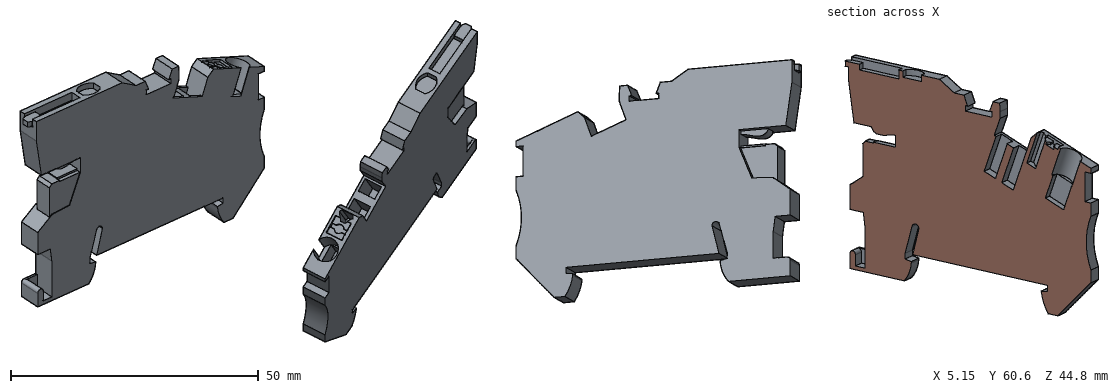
import cadquery as cq
import math

THICKNESS = 5.15
LENGTH = 60.6
HEIGHT = 44.8
MID_X = THICKNESS / 2

FRONT_FACE_Y = 0.8
FOOT_FRONT_Y = 1.15
FOOT_RECESS_Y = 4.85
FOOT_RECESS_TOP_Y = 4.4
FOOT_RECESS_BEND_Z = 9.5
FOOT_LEDGE_Z = 4.0
FOOT_LIP_RADIUS = 0.7
FOOT_POCKET_WALL = 0.55
FOOT_POCKET_FLOOR_Z = 0.9
FOOT_RECESS_TOP_Z = 12.6
FRONT_TAPER_Z = 40.1
FRONT_TAPER_BOTTOM_Y = 2.1

MOUTH_BACK_Y = 12.3
MOUTH_TOP_Z = 31.3
MOUTH_KNEE_Z = 27.7
MOUTH_FLOOR = [(9.5, 21.05), (4.9, 20.7), (FOOT_FRONT_Y, 17.95)]

SEAT_Z = 6.0
HOOK_TOP_Z = 4.8
HOOK_TIP_Z = 4.55
HOOK_ARC_Z = 4.25
HOOK_MID_Z = 2.1
FRONT_HOOK_ROOT_Y = 14.85
FRONT_HOOK_TIP_Y = 16.35
FRONT_HOOK_MID_Y = 15.9
FRONT_HOOK_TOE_Y = 14.55
BACK_HOOK_ROOT_Y = 49.75
BACK_HOOK_TIP_Y = 48.3
BACK_HOOK_MID_Y = 48.85
BACK_HOOK_TOE_Y = 50.0
SLIT_FRONT_TOP = (16.55, 12.05)
SLIT_CROWN = (17.4, 12.65)
SLIT_BACK_TOP = (18.1, 11.9)
SLIT_BACK_BOTTOM_Y = 16.6

HEEL_Y = 52.35
HEEL_TOP_Z = 8.7
GRIP_BOTTOM_Z = 11.45
GRIP_TOP_Z = 22.9
GRIP_DEPTH = 1.15
NOTCH_BOTTOM_Z = 25.75
NOTCH_TOP_Z = 32.0
NOTCH_DEPTH = 1.5
ROOF_BACK_Z = 33.15

ROOF_CREST = (47.2, 38.05)
ROOF_SHOULDER = (45.75, 36.7)
ROOF_ANGLE = math.atan2(ROOF_CREST[1] - ROOF_BACK_Z, LENGTH - ROOF_CREST[0])
ROOF_SLOPE = math.tan(ROOF_ANGLE)
GAP_BACK_Z = 32.7
GAP_FRONT_Y = 36.8
GAP_BACK = (ROOF_SHOULDER[0] - (ROOF_SHOULDER[1] - GAP_BACK_Z) * ROOF_SLOPE, GAP_BACK_Z)
GAP_FRONT = (GAP_FRONT_Y, GAP_BACK_Z + (GAP_BACK[0] - GAP_FRONT_Y) * ROOF_SLOPE)

HOLDER_TOP_Z = 42.6
HOLDER_FLOOR_Z = 39.3
HOLDER_LIP_Z = 40.35
HOLDER_BACK_Y = 36.05
HOLDER_FRONT_Y = 29.7
HOLDER_LIP = 0.55
HOLDER_LIP_RUN = 0.9
HOLDER_ARM_BACK_Y = 38.25
HOLDER_ARM_TOP_Y = 38.1
HOLDER_ARM_TOP_BEND_Z = 40.85
HOLDER_ARM_BOTTOM_BEND_Z = 39.4
SHOULDER_Y = 26.9
TOP_BACK_Y = 23.3

BLOCK_X = (1.1, 5.05)
BLOCK_FRONT_Y = 4.3
BLOCK_TOP_Z = 28.0
BLOCK_STEP_Y = 7.0
BLOCK_STEP_Z = 27.75
BLOCK_CHAMFER = 0.65
BLOCK_EMBED = 0.6
RIDGE_X = (1.35, 4.2)
RIDGE_TOP_Z = 28.2

TONGUE_BACK_Z = 30.6
TONGUE_BULGE = [(10.9, 30.35), (9.4, 30.0), (7.7, 30.0), (6.4, MOUTH_TOP_Z)]

SLOT_X = (1.4, 3.95)
SLOT_BACK_Y = 13.2
SLOT_FLOOR_Z = 42.9
PIN_X = (1.4, 3.75)
PIN_BACK_Y = 3.65
PIN_HEIGHT = 1.2
PIN_TIP_INSET = 0.5
WINDOW_Y = 16.55
WINDOW_LENGTH = 4.55
WINDOW_WIDTH = 3.95
WINDOW_FLAT = 2.05
WINDOW_DEPTH = 1.35

ENTRY_X = 2.85
ENTRY_RADIUS = 2.55
ENTRY_ALONG = 8.85
ENTRY_DEPTH = 6.4
CLAMP_X = (1.2, 4.2)
CLAMP_ALONG = (6.65, 11.35)
CLAMP_DEPTH = 5.45
RECESS_X = (0.9, 4.55)
RECESS_ALONG = (1.75, 5.7)
RECESS_DEPTH = 0.55
CROSS_ALONG = 3.8
CROSS_WIDTH = 0.85
CROSS_RADIUS = 1.0
CROSS_DEPTH = 0.55
TOOL_HOLE_X = 2.65
TOOL_HOLE_DEPTH = 7.3
TOOL_HOLE_HALF_OUTLINE = [(1.3, 0.1), (1.6, 0.7), (0.5, 2.3)]

POCKET_X = (0.7, 4.55)
POCKETS_ALONG = [(-2.9, 0.0), (-7.5, -4.65)]
POCKET_DEPTH = 8.5


def box(x_range, y_range, z_range):
    """Axis-aligned box between the given limits."""
    lows, highs = zip(x_range, y_range, z_range)
    sizes = [high - low for low, high in zip(lows, highs)]
    return cq.Workplane("XY").box(*sizes, centered=False).translate(lows)


def slope_plane(point):
    """Plane parallel to the sloping roof through a (y, z) point; its local y runs down the slope."""
    normal = (0, math.sin(ROOF_ANGLE), math.cos(ROOF_ANGLE))
    return cq.Workplane(cq.Plane(origin=(0, *point), xDir=(1, 0, 0), normal=normal))


def slope_pocket(plane, x_range, along, depth):
    """Rectangular pocket sunk square into a slope plane."""
    centre = (sum(x_range) / 2, sum(along) / 2)
    return plane.center(*centre).rect(x_range[1] - x_range[0], along[1] - along[0]).extrude(-depth)


def make_body():
    """The plate outline, followed from the front foot under the rail seat and back over the top."""
    outline = (
        cq.Workplane("YZ")
        .moveTo(FOOT_FRONT_Y, 0)
        .lineTo(FRONT_HOOK_TOE_Y, 0)
        .threePointArc((FRONT_HOOK_MID_Y, HOOK_MID_Z), (FRONT_HOOK_TIP_Y, HOOK_ARC_Z))
        .lineTo(FRONT_HOOK_TIP_Y, HOOK_TIP_Z)
        .lineTo(FRONT_HOOK_ROOT_Y, HOOK_TOP_Z)
        .lineTo(FRONT_HOOK_ROOT_Y, SEAT_Z)
        .lineTo(*SLIT_FRONT_TOP)
        .threePointArc(SLIT_CROWN, SLIT_BACK_TOP)
        .lineTo(SLIT_BACK_BOTTOM_Y, SEAT_Z)
        .lineTo(BACK_HOOK_ROOT_Y, SEAT_Z)
        .lineTo(BACK_HOOK_ROOT_Y, HOOK_TOP_Z)
        .lineTo(BACK_HOOK_TIP_Y, HOOK_TIP_Z)
        .lineTo(BACK_HOOK_TIP_Y, HOOK_ARC_Z)
        .threePointArc((BACK_HOOK_MID_Y, HOOK_MID_Z), (BACK_HOOK_TOE_Y, 0))
        .lineTo(HEEL_Y, 0)
        .lineTo(LENGTH, HEEL_TOP_Z)
        .lineTo(LENGTH, GRIP_BOTTOM_Z)
        .threePointArc((LENGTH - GRIP_DEPTH, (GRIP_BOTTOM_Z + GRIP_TOP_Z) / 2), (LENGTH, GRIP_TOP_Z))
        .lineTo(LENGTH, NOTCH_BOTTOM_Z)
        .lineTo(LENGTH - NOTCH_DEPTH, NOTCH_BOTTOM_Z)
        .lineTo(LENGTH - NOTCH_DEPTH, NOTCH_TOP_Z)
        .lineTo(LENGTH, NOTCH_TOP_Z)
        .lineTo(LENGTH, ROOF_BACK_Z)
        .lineTo(*ROOF_CREST)
        .lineTo(*ROOF_SHOULDER)
        .lineTo(*GAP_BACK)
        .lineTo(*GAP_FRONT)
        .lineTo(HOLDER_ARM_BACK_Y, HOLDER_ARM_BOTTOM_BEND_Z)
        .lineTo(HOLDER_ARM_BACK_Y, HOLDER_ARM_TOP_BEND_Z)
        .lineTo(HOLDER_ARM_TOP_Y, HOLDER_TOP_Z)
        .lineTo(HOLDER_BACK_Y - HOLDER_LIP + HOLDER_LIP_RUN, HOLDER_TOP_Z)
        .lineTo(HOLDER_BACK_Y - HOLDER_LIP, HOLDER_LIP_Z)
        .lineTo(HOLDER_BACK_Y, HOLDER_LIP_Z)
        .lineTo(HOLDER_BACK_Y, HOLDER_FLOOR_Z)
        .lineTo(HOLDER_FRONT_Y, HOLDER_FLOOR_Z)
        .lineTo(HOLDER_FRONT_Y, HOLDER_LIP_Z)
        .lineTo(HOLDER_FRONT_Y + HOLDER_LIP, HOLDER_LIP_Z)
        .lineTo(HOLDER_FRONT_Y + HOLDER_LIP - HOLDER_LIP_RUN, HOLDER_TOP_Z)
        .lineTo(SHOULDER_Y, HOLDER_TOP_Z)
        .lineTo(TOP_BACK_Y, HEIGHT)
        .lineTo(FRONT_FACE_Y, HEIGHT)
        .lineTo(FRONT_FACE_Y, FRONT_TAPER_Z)
        .lineTo(FRONT_TAPER_BOTTOM_Y, MOUTH_TOP_Z)
        .lineTo(MOUTH_BACK_Y, MOUTH_TOP_Z)
        .lineTo(MOUTH_BACK_Y, MOUTH_KNEE_Z)
    )
    for point in MOUTH_FLOOR:
        outline = outline.lineTo(*point)
    lip_radius = FOOT_LIP_RADIUS
    diagonal = lip_radius * (1 - math.sqrt(0.5))
    outline = (
        outline
        .lineTo(FOOT_FRONT_Y, FOOT_RECESS_TOP_Z)
        .lineTo(FOOT_RECESS_TOP_Y, FOOT_RECESS_TOP_Z)
        .lineTo(FOOT_RECESS_Y, FOOT_RECESS_BEND_Z)
        .lineTo(FOOT_RECESS_Y, FOOT_LEDGE_Z)
        .lineTo(FOOT_FRONT_Y + lip_radius, FOOT_LEDGE_Z)
        .threePointArc(
            (FOOT_FRONT_Y + diagonal, FOOT_LEDGE_Z - diagonal),
            (FOOT_FRONT_Y, FOOT_LEDGE_Z - lip_radius),
        )
        .close()
    )
    return outline.extrude(THICKNESS)


def make_foot_pocket():
    """Pocket behind the foot lip, open at high X; its front edge rounds the back of the lip."""
    radius = FOOT_LIP_RADIUS
    diagonal = radius * math.sqrt(0.5)
    crown_y = FOOT_FRONT_Y + radius
    return (
        cq.Workplane("YZ", origin=(FOOT_POCKET_WALL, 0, 0))
        .moveTo(crown_y, FOOT_LEDGE_Z)
        .threePointArc(
            (crown_y + diagonal, FOOT_LEDGE_Z - radius + diagonal),
            (crown_y + radius, FOOT_LEDGE_Z - radius),
        )
        .lineTo(crown_y + radius, FOOT_POCKET_FLOOR_Z)
        .lineTo(FOOT_RECESS_Y, FOOT_POCKET_FLOOR_Z)
        .lineTo(FOOT_RECESS_Y, FOOT_LEDGE_Z)
        .close()
        .extrude(THICKNESS - FOOT_POCKET_WALL)
    )


def make_release_block():
    """Stepped block standing on the mouth floor, with a narrow ridge on its lower step."""
    root_y = MOUTH_BACK_Y + BLOCK_EMBED
    root_z = MOUTH_FLOOR[-1][1]
    block = (
        cq.Workplane("YZ", origin=(BLOCK_X[0], 0, 0))
        .moveTo(BLOCK_FRONT_Y, root_z)
        .lineTo(BLOCK_FRONT_Y, BLOCK_TOP_Z - BLOCK_CHAMFER)
        .lineTo(BLOCK_FRONT_Y + BLOCK_CHAMFER, BLOCK_TOP_Z)
        .lineTo(BLOCK_STEP_Y, BLOCK_TOP_Z)
        .lineTo(BLOCK_STEP_Y, BLOCK_STEP_Z)
        .lineTo(root_y, BLOCK_STEP_Z)
        .lineTo(root_y, root_z)
        .close()
        .extrude(BLOCK_X[1] - BLOCK_X[0])
    )
    return block.union(box(RIDGE_X, (BLOCK_STEP_Y, root_y), (root_z, RIDGE_TOP_Z)))


def make_tongue():
    """Bulged tongue hanging from the ceiling of the mouth above the ridge."""
    return (
        cq.Workplane("YZ", origin=(RIDGE_X[0], 0, 0))
        .moveTo(MOUTH_BACK_Y, MOUTH_TOP_Z)
        .lineTo(MOUTH_BACK_Y, TONGUE_BACK_Z)
        .spline(TONGUE_BULGE, includeCurrent=True)
        .close()
        .extrude(RIDGE_X[1] - RIDGE_X[0])
    )


def make_pin():
    """Flat marker pin on the slot floor; its tip narrows where it leaves the body."""
    left, right = PIN_X
    return (
        cq.Workplane("XY", origin=(0, 0, SLOT_FLOOR_Z))
        .polyline([
            (left, PIN_BACK_Y),
            (left, FRONT_FACE_Y),
            (left + PIN_TIP_INSET, 0),
            (right - PIN_TIP_INSET, 0),
            (right, FRONT_FACE_Y),
            (right, PIN_BACK_Y),
        ])
        .close()
        .extrude(PIN_HEIGHT)
    )


def make_window():
    """Shallow window with flat ends and bowed sides."""
    half_flat = WINDOW_FLAT / 2
    half_width = WINDOW_WIDTH / 2
    half_length = WINDOW_LENGTH / 2
    return (
        cq.Workplane("XY", origin=(MID_X, WINDOW_Y, HEIGHT))
        .moveTo(-half_flat, half_length)
        .lineTo(half_flat, half_length)
        .threePointArc((half_width, 0), (half_flat, -half_length))
        .lineTo(-half_flat, -half_length)
        .threePointArc((-half_width, 0), (-half_flat, half_length))
        .close()
        .extrude(-WINDOW_DEPTH)
    )


def make_wire_entry(roof):
    """Round entry square to the roof, leading into a narrower rectangular clamp shaft."""
    entry = roof.center(ENTRY_X, ENTRY_ALONG).circle(ENTRY_RADIUS).extrude(-ENTRY_DEPTH)
    entry_floor = roof.workplane(offset=-ENTRY_DEPTH, origin=roof.plane.origin)
    shaft = slope_pocket(entry_floor, CLAMP_X, CLAMP_ALONG, CLAMP_DEPTH)
    return entry.union(shaft)


def make_test_recess(roof):
    """Shallow rectangular recess with a deeper cross slot that widens to a round in its middle."""
    recess = slope_pocket(roof, RECESS_X, RECESS_ALONG, RECESS_DEPTH)
    full_depth = RECESS_DEPTH + CROSS_DEPTH
    cross_range = (CROSS_ALONG - CROSS_WIDTH / 2, CROSS_ALONG + CROSS_WIDTH / 2)
    cross = slope_pocket(roof, RECESS_X, cross_range, full_depth)
    centre_x = sum(RECESS_X) / 2
    middle = roof.center(centre_x, CROSS_ALONG).circle(CROSS_RADIUS).extrude(-full_depth)
    return recess.union(cross).union(middle)


def make_tool_hole(roof):
    """Six-sided screwdriver hole square to the roof, next to the crest."""
    right = [(TOOL_HOLE_X + x, along) for x, along in TOOL_HOLE_HALF_OUTLINE]
    left = [(TOOL_HOLE_X - x, along) for x, along in reversed(TOOL_HOLE_HALF_OUTLINE)]
    return roof.polyline(right + left).close().extrude(-TOOL_HOLE_DEPTH)


roof_plane = slope_plane(ROOF_CREST)
gap_plane = slope_plane(GAP_BACK)

result = make_body().cut(make_foot_pocket())
result = result.union(make_release_block()).union(make_tongue())

result = result.cut(box(SLOT_X, (0, SLOT_BACK_Y), (SLOT_FLOOR_Z, HEIGHT)))
result = result.union(make_pin())
result = result.cut(make_window())

result = result.cut(make_wire_entry(roof_plane))
result = result.cut(make_test_recess(roof_plane))
result = result.cut(make_tool_hole(roof_plane))
for pocket_along in POCKETS_ALONG:
    result = result.cut(slope_pocket(gap_plane, POCKET_X, pocket_along, POCKET_DEPTH))